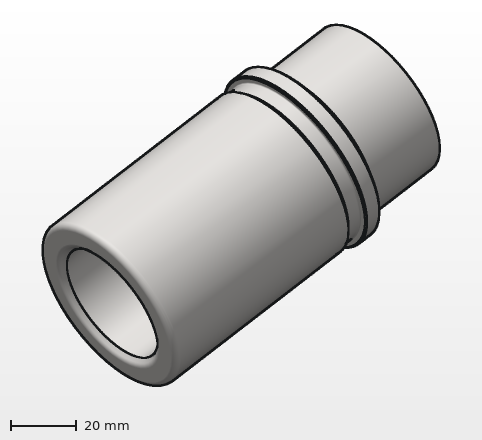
import cadquery as cq
import math

length = 115.0
front = -length / 2
back = length / 2

body_radius = 30.0
groove_radius = 29.0
collar_radius = 31.5
neck_radius = 26.0
spigot_radius = 27.0

body_end = 16.5
collar_front = 21.4
collar_back = 27.5
spigot_start = 28.6

body_nose_round = 2.1
body_end_chamfer = body_radius - groove_radius
collar_chamfer = 0.5
groove_round = 0.5
spigot_front_chamfer = spigot_radius - neck_radius
spigot_back_round = 1.0

bore_radius = 20.0
mouth_radius = 22.8
mouth_round = 2.1
cone_angle = math.radians(45)
cone_radius = mouth_radius - mouth_round * math.sin(cone_angle)
cone_start = front + mouth_round * (1 - math.cos(cone_angle))
cone_end = cone_start + (cone_radius - bore_radius) * math.tan(cone_angle)


def revolve_about_y(profile):
    return profile.close().revolve(360, (0, 0, 0), (0, 1, 0))


def make_outside():
    """Revolve the stepped outer outline into a solid."""
    outline = (
        cq.Workplane("XY")
        .moveTo(0, front)
        .lineTo(body_radius - body_nose_round, front)
        .radiusArc((body_radius, front + body_nose_round), -body_nose_round)
        .lineTo(body_radius, body_end - body_end_chamfer)
        .lineTo(groove_radius, body_end)
        .lineTo(groove_radius, collar_front - groove_round)
        .radiusArc((groove_radius + groove_round, collar_front), groove_round)
        .lineTo(collar_radius - collar_chamfer, collar_front)
        .lineTo(collar_radius, collar_front + collar_chamfer)
        .lineTo(collar_radius, collar_back - collar_chamfer)
        .lineTo(collar_radius - collar_chamfer, collar_back)
        .lineTo(neck_radius, collar_back)
        .lineTo(neck_radius, spigot_start)
        .lineTo(spigot_radius, spigot_start + spigot_front_chamfer)
        .lineTo(spigot_radius, back - spigot_back_round)
        .radiusArc((spigot_radius - spigot_back_round, back), -spigot_back_round)
        .lineTo(0, back)
    )
    return revolve_about_y(outline)


def make_bore():
    """Through bore with a rounded lip and a cone at the front mouth."""
    outline = (
        cq.Workplane("XY")
        .moveTo(0, front)
        .lineTo(mouth_radius, front)
        .radiusArc((cone_radius, cone_start), mouth_round)
        .lineTo(bore_radius, cone_end)
        .lineTo(bore_radius, back)
        .lineTo(0, back)
    )
    return revolve_about_y(outline)


result = make_outside().cut(make_bore())